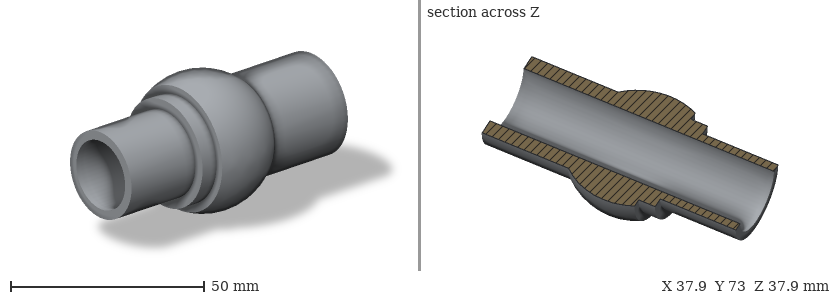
import cadquery as cq
import math

total_length = 73.0
narrow_tube_length = 22.05
collar_length = 4.8
ball_length = 20.95

narrow_tube_diameter = 24.0
collar_diameter = 29.7
ball_diameter = 37.95
wide_tube_diameter = 28.1
bore_diameter = 19.05

narrow_end = -total_length / 2
collar_start = narrow_end + narrow_tube_length
ball_start = collar_start + collar_length
ball_end = ball_start + ball_length
wide_end = total_length / 2

ball_radius = ball_diameter / 2
wide_tube_radius = wide_tube_diameter / 2
ball_center = ball_end - math.sqrt(ball_radius**2 - wide_tube_radius**2)
ball_face_radius = math.sqrt(ball_radius**2 - (ball_center - ball_start) ** 2)

half_section = (
    cq.Workplane("XY")
    .moveTo(bore_diameter / 2, narrow_end)
    .lineTo(narrow_tube_diameter / 2, narrow_end)
    .lineTo(narrow_tube_diameter / 2, collar_start)
    .lineTo(collar_diameter / 2, collar_start)
    .lineTo(collar_diameter / 2, ball_start)
    .lineTo(ball_face_radius, ball_start)
    .threePointArc((ball_radius, ball_center), (wide_tube_radius, ball_end))
    .lineTo(wide_tube_radius, wide_end)
    .lineTo(bore_diameter / 2, wide_end)
    .close()
)
result = half_section.revolve(360, (0, 0, 0), (0, 1, 0))